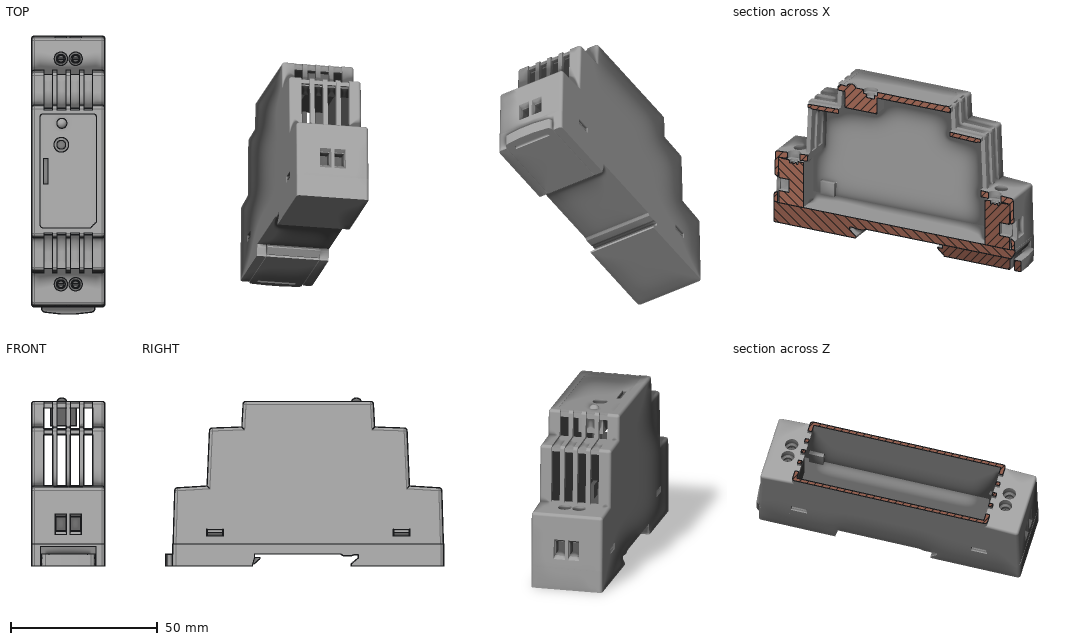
import cadquery as cq
import math

WIDTH = 25.0
BASE_HALF = 46.1
SEAM_Z = 7.6
EDGE_RADIUS = 1.0
WALL = 1.4
ROOF = 2.4

TOP_Z = 56.0
SEAM_CORNER = (46.0, SEAM_Z)
LOW_EDGE = (45.4, 26.6)
LOW_ROOT = (34.45, 27.3)
MID_EDGE = (33.6, 46.9)
MID_ROOT = (22.6, 47.3)
TOP_EDGE = (22.15, TOP_Z)

SLOT_WIDTH = 3.0
SLOT_PITCH = 4.5
SLOT_COUNT = 4
GROOVE = 0.7
TOP_GROOVE_REACH = 1.2

LABEL_LENGTH = 38.7
LABEL_WIDTH = 19.1
LABEL_Y = 0.2
LABEL_SINK = 0.1
LABEL_RADIUS = 0.9
LABEL_CHAMFER = 2.0
LAMP_X, LAMP_Y = -2.2, 16.4
LAMP_DIAMETER = 3.4
LAMP_HEIGHT = 1.1
DIAL_X, DIAL_Y = -2.4, 9.1
DIAL_DIAMETER, DIAL_DEPTH = 5.0, 1.5
DIAL_INNER_DIAMETER, DIAL_INNER_DEPTH = 3.0, 1.3
KEY_X, KEY_Y = -7.7, 0.1
KEY_WIDTH, KEY_LENGTH, KEY_DEPTH = 1.5, 8.6, 1.4
BOSS_X = -1.6
BOSS_WIDTH, BOSS_DROP = 8.7, 6.0

POLE_PITCH = 5.0
POLE_XS = (-POLE_PITCH / 2, POLE_PITCH / 2)
SCREW_Y = 38.3
SCREW_HOLE_DIAMETER = 4.5
SCREW_WELL_DIAMETER, SCREW_WELL_DEPTH = 3.0, 1.1
SCREW_HEAD_DIAMETER, SCREW_HEAD_HEIGHT = 2.3, 0.6
SCREW_SLOT_WIDTH = 0.6
SCREW_SLOT_DEPTH = 0.5
BLOCK_INNER_Y = 34.5
BLOCK_OUTER_Y = LOW_EDGE[0] - WALL
WIRE_WIDTH, WIRE_HEIGHT, WIRE_Z = 3.4, 4.6, 14.4
WIRE_DEPTH = 3.8
MOUTH_WIDTH, MOUTH_HEIGHT, MOUTH_Z = 4.0, 7.2, 14.3

SNAP_Y, SNAP_Z = 31.7, 11.4
SNAP_WINDOW_LENGTH, SNAP_WINDOW_HEIGHT = 5.7, 2.3
SNAP_LENGTH = 5.1
SNAP_SINK = 0.2
TONGUE_THICKNESS = 1.4
TONGUE_ROOT = 0.9

RAIL_ROOF_Z = 4.1
LATCH_WIDTH = 18.2
CHANNEL_WIDTH = 18.7
CHANNEL_MOUTH_Z = 6.6
CHANNEL_MOUTH_DEPTH = 1.4
RAIL_STOP_Y = -18.3
LATCH_TIP_Y = -16.4
HANDLE_Y = -48.6
HANDLE_SHOULDER_Y = -47.9
HANDLE_SIDE_Y = -46.4
HANDLE_BAR = 2.2
HANDLE_CORNER = 1.3
GRIP_WIDTH, GRIP_LENGTH = 13.25, 1.5

HOOK_TIP_Y, HOOK_TIP_Z = 14.6, 0.8
HOOK_ROOT_Y, HOOK_ROOT_Z, HOOK_ROOF_Z = 16.9, 2.7, 3.8
PAD_INNER_Y, PAD_OUTER_Y = 11.0, 15.6
PAD_Z, PAD_RAMP = 3.5, 0.9
STOP_CHAMFER_Y, STOP_CHAMFER_Z = -18.9, 0.6
STOP_EDGE_Z = 2.8
NOSE_TOP_Z, NOSE_TIP_Z, NOSE_BOTTOM_Z = 2.9, 2.6, 0.7
NOSE_BOTTOM_Y = -18.5

BIG = 94.65


def mirrored(half):
    """Outline points for both ends from the points of the +Y end."""
    return half + [(-y, z) for y, z in reversed(half)]


def prism_x(points, x_from, x_to):
    """A YZ outline extruded from x_from to x_to."""
    return cq.Workplane("YZ", origin=(x_from, 0, 0)).polyline(points).close().extrude(x_to - x_from)


def block(x_from, x_to, y_from, y_to, z_from, z_to):
    """A box given by its limits."""
    size = (x_to - x_from, y_to - y_from, z_to - z_from)
    return cq.Workplane("XY").box(*size, centered=False).translate((x_from, y_from, z_from))


def at_both_ends(shape):
    """A tool for the +Y end together with its mirror image at the -Y end."""
    return shape.union(shape.mirror("XZ"))


def inset(point, side, down):
    """A point moved towards the middle and downwards."""
    return (point[0] - side, point[1] - down)


def cover_shell():
    half = [SEAM_CORNER, LOW_EDGE, LOW_ROOT, MID_EDGE, MID_ROOT, TOP_EDGE]
    body = prism_x(mirrored(half), -WIDTH / 2, WIDTH / 2)
    convex = [LOW_EDGE, MID_EDGE, TOP_EDGE]
    for y, z in mirrored(convex):
        corner = cq.selectors.NearestToPointSelector((0, y, z))
        body = body.edges(corner).fillet(EDGE_RADIUS)
    body = body.faces("<X or >X").edges("not(<Z)").fillet(EDGE_RADIUS)
    cavity_half = [inset(SEAM_CORNER, WALL, 0)] + [inset(p, WALL, ROOF) for p in half[1:]]
    cavity = prism_x(mirrored(cavity_half), WALL - WIDTH / 2, WIDTH / 2 - WALL)
    return body.cut(cavity)


def vent_tool():
    """Groove over the edges of the +Y end plus the windows through its upright walls, one slot wide."""
    low_rise = (LOW_ROOT[1] - LOW_EDGE[1]) / (LOW_EDGE[0] - LOW_ROOT[0])
    mid_rise = (MID_ROOT[1] - MID_EDGE[1]) / (MID_EDGE[0] - MID_ROOT[0])
    groove = [
        (BIG, BIG),
        (TOP_EDGE[0] - TOP_GROOVE_REACH, BIG),
        (TOP_EDGE[0] - TOP_GROOVE_REACH, TOP_Z - GROOVE),
        inset(TOP_EDGE, GROOVE, GROOVE),
        inset(MID_ROOT, GROOVE, GROOVE),
        inset(MID_EDGE, GROOVE, GROOVE),
        (LOW_ROOT[0] - GROOVE, LOW_ROOT[1] + low_rise * GROOVE),
        LOW_ROOT,
        (BIG, LOW_ROOT[1]),
    ]
    tool = prism_x(groove, -SLOT_WIDTH / 2, SLOT_WIDTH / 2)
    reach = 2 * WALL
    windows = [
        (inset(MID_ROOT, GROOVE, GROOVE), mid_rise, TOP_Z - ROOF),
        (LOW_ROOT, low_rise, MID_ROOT[1] - ROOF),
    ]
    for (outer_y, sill_z), rise, head_z in windows:
        inner_y = outer_y - reach
        window = [(outer_y, sill_z), (inner_y, sill_z + rise * reach), (inner_y, head_z), (outer_y, head_z)]
        tool = tool.union(prism_x(window, -SLOT_WIDTH / 2, SLOT_WIDTH / 2))
    return tool


def cut_vents(body):
    tool = at_both_ends(vent_tool())
    for i in range(SLOT_COUNT):
        body = body.cut(tool.translate(((i - (SLOT_COUNT - 1) / 2) * SLOT_PITCH, 0, 0)))
    return body


def add_top_panel(body):
    boss_length = LAMP_Y - DIAL_Y + DIAL_DIAMETER
    boss_y = (LAMP_Y + DIAL_Y) / 2
    boss_top = TOP_Z - ROOF
    body = body.union(block(
        BOSS_X - BOSS_WIDTH / 2, BOSS_X + BOSS_WIDTH / 2,
        boss_y - boss_length / 2, boss_y + boss_length / 2,
        boss_top - BOSS_DROP, boss_top,
    ))
    label = cq.Workplane("XY").box(LABEL_WIDTH, LABEL_LENGTH, 2 * LABEL_SINK)
    label = label.edges("|Z and >X and <Y").chamfer(LABEL_CHAMFER)
    label = label.edges("|Z").edges("<X or >Y").fillet(LABEL_RADIUS)
    body = body.cut(label.translate((0, LABEL_Y, TOP_Z)))
    top = cq.Workplane("XY", origin=(0, 0, TOP_Z))
    body = body.cut(top.center(DIAL_X, DIAL_Y).circle(DIAL_DIAMETER / 2).extrude(-DIAL_DEPTH))
    inner_depth = DIAL_DEPTH + DIAL_INNER_DEPTH
    body = body.cut(top.center(DIAL_X, DIAL_Y).circle(DIAL_INNER_DIAMETER / 2).extrude(-inner_depth))
    body = body.cut(top.center(KEY_X, KEY_Y).rect(KEY_WIDTH, KEY_LENGTH).extrude(-KEY_DEPTH))
    return body.union(lamp())


def lamp():
    """Domed indicator lamp: a spherical cap on a short stem that reaches into the top plate."""
    radius = LAMP_DIAMETER / 2
    bulge = (radius ** 2 + LAMP_HEIGHT ** 2) / (2 * LAMP_HEIGHT)
    half_angle = math.asin(radius / bulge) / 2
    middle = (bulge * math.sin(half_angle), LAMP_HEIGHT - bulge * (1 - math.cos(half_angle)))
    section = (
        cq.Workplane("XZ").moveTo(0, -ROOF / 2).lineTo(radius, -ROOF / 2).lineTo(radius, 0)
        .threePointArc(middle, (0, LAMP_HEIGHT)).close()
    )
    dome = section.revolve(360, (0, 0, 0), (0, 1, 0))
    return dome.translate((LAMP_X, LAMP_Y, TOP_Z))


def wire_funnel(pole_x):
    """Tapered wire entry through the +Y end wall."""
    outer_y = SEAM_CORNER[0]
    return (
        cq.Workplane("XZ", origin=(pole_x, outer_y, 0))
        .center(0, MOUTH_Z).rect(MOUTH_WIDTH, MOUTH_HEIGHT)
        .workplane(offset=outer_y - BLOCK_OUTER_Y).center(0, WIRE_Z - MOUTH_Z).rect(WIRE_WIDTH, WIRE_HEIGHT)
        .loft(ruled=True)
    )


def cut_terminal_openings(body):
    for pole_x in POLE_XS:
        screw_hole = (
            cq.Workplane("XY", origin=(pole_x, SCREW_Y, LOW_EDGE[1] - ROOF))
            .circle(SCREW_HOLE_DIAMETER / 2).extrude(2 * ROOF)
        )
        body = body.cut(at_both_ends(screw_hole)).cut(at_both_ends(wire_funnel(pole_x)))
    return body


def cut_snap_windows(body):
    half_length = SNAP_WINDOW_LENGTH / 2
    half_height = SNAP_WINDOW_HEIGHT / 2
    window = block(
        -WIDTH, WIDTH, SNAP_Y - half_length, SNAP_Y + half_length, SNAP_Z - half_height, SNAP_Z + half_height
    )
    return body.cut(at_both_ends(window))


def make_cover():
    body = cover_shell()
    body = cut_vents(body)
    body = add_top_panel(body)
    body = cut_terminal_openings(body)
    return cut_snap_windows(body)


def rail_recess():
    """Recess for the mounting rail, with a fixed hook on the +Y side."""
    outline = [
        (HOOK_TIP_Y, -BIG), (HOOK_TIP_Y, HOOK_TIP_Z), (HOOK_ROOT_Y, HOOK_ROOT_Z), (HOOK_ROOT_Y, HOOK_ROOF_Z),
        (PAD_OUTER_Y, HOOK_ROOF_Z), (PAD_OUTER_Y - PAD_RAMP, PAD_Z), (PAD_INNER_Y + PAD_RAMP, PAD_Z),
        (PAD_INNER_Y, RAIL_ROOF_Z), (RAIL_STOP_Y, RAIL_ROOF_Z), (RAIL_STOP_Y, STOP_EDGE_Z),
        (STOP_CHAMFER_Y, STOP_CHAMFER_Z), (STOP_CHAMFER_Y, -BIG),
    ]
    return prism_x(outline, -WIDTH, WIDTH)


def latch_channel():
    outline = [
        (0, -BIG), (0, RAIL_ROOF_Z), (CHANNEL_MOUTH_DEPTH - BASE_HALF, RAIL_ROOF_Z),
        (-BASE_HALF, CHANNEL_MOUTH_Z), (-BASE_HALF, -BIG),
    ]
    return prism_x(outline, -CHANNEL_WIDTH / 2, CHANNEL_WIDTH / 2)


def snap_hook():
    """Tongue with a ridged hook, on the +X side near the +Y end."""
    outer_x = WIDTH / 2 - WALL
    half_height = SNAP_WINDOW_HEIGHT / 2
    bottom_z = SEAM_Z - TONGUE_ROOT
    section = [
        (outer_x - TONGUE_THICKNESS, bottom_z), (outer_x, bottom_z), (outer_x, SNAP_Z - half_height),
        (WIDTH / 2 - SNAP_SINK, SNAP_Z), (outer_x, SNAP_Z + half_height),
        (outer_x - TONGUE_THICKNESS, SNAP_Z + half_height),
    ]
    tongue = cq.Workplane("XZ").polyline(section).close().extrude(SNAP_LENGTH / 2, both=True)
    return tongue.translate((0, SNAP_Y, 0))


def make_base():
    body = block(-WIDTH / 2, WIDTH / 2, -BASE_HALF, BASE_HALF, 0, SEAM_Z).edges("|Z").fillet(EDGE_RADIUS)
    body = body.cut(rail_recess()).cut(latch_channel())
    hooks = at_both_ends(snap_hook())
    return body.union(hooks).union(hooks.mirror("YZ"))


def make_latch():
    half = LATCH_WIDTH / 2
    shoulder = half - HANDLE_CORNER
    corner_bow = HANDLE_CORNER * (1 - math.sqrt(0.5))
    corner_y = HANDLE_SHOULDER_Y + (HANDLE_SIDE_Y - HANDLE_SHOULDER_Y) * (1 - math.sqrt(0.5))
    plate = (
        cq.Workplane("XY").moveTo(-half, RAIL_STOP_Y).lineTo(-half, HANDLE_SIDE_Y)
        .threePointArc((corner_bow - half, corner_y), (-shoulder, HANDLE_SHOULDER_Y))
        .threePointArc((0, HANDLE_Y), (shoulder, HANDLE_SHOULDER_Y))
        .threePointArc((half - corner_bow, corner_y), (half, HANDLE_SIDE_Y))
        .lineTo(half, RAIL_STOP_Y).close().extrude(RAIL_ROOF_Z)
    )
    grip_y = HANDLE_SHOULDER_Y + HANDLE_BAR
    plate = plate.cut(block(-GRIP_WIDTH / 2, GRIP_WIDTH / 2, grip_y, grip_y + GRIP_LENGTH, 0, RAIL_ROOF_Z))
    relief = [
        (RAIL_STOP_Y, NOSE_TOP_Z), (RAIL_STOP_Y, -BIG), (STOP_CHAMFER_Y, -BIG), (STOP_CHAMFER_Y, NOSE_BOTTOM_Z),
    ]
    plate = plate.cut(prism_x(relief, -WIDTH, WIDTH))
    nose = [
        (STOP_CHAMFER_Y, NOSE_TOP_Z), (LATCH_TIP_Y, NOSE_TOP_Z), (LATCH_TIP_Y, NOSE_TIP_Z),
        (NOSE_BOTTOM_Y, NOSE_BOTTOM_Z), (STOP_CHAMFER_Y, NOSE_BOTTOM_Z),
    ]
    return plate.union(prism_x(nose, -half, half))


def make_terminal():
    """Two-pole terminal block at the +Y end."""
    top_z = LOW_EDGE[1] - ROOF
    body = block(-POLE_PITCH, POLE_PITCH, BLOCK_INNER_Y, BLOCK_OUTER_Y, SEAM_Z, top_z)
    for pole_x in POLE_XS:
        well_top = cq.Workplane("XY", origin=(pole_x, SCREW_Y, top_z))
        body = body.cut(well_top.circle(SCREW_WELL_DIAMETER / 2).extrude(-SCREW_WELL_DEPTH))
        head = (
            cq.Workplane("XY", origin=(pole_x, SCREW_Y, top_z - SCREW_WELL_DEPTH))
            .circle(SCREW_HEAD_DIAMETER / 2).extrude(SCREW_HEAD_HEIGHT)
            .faces(">Z").workplane().rect(SCREW_HEAD_DIAMETER, SCREW_SLOT_WIDTH).cutBlind(-SCREW_SLOT_DEPTH)
        )
        body = body.union(head)
        body = body.cut(block(
            pole_x - WIRE_WIDTH / 2, pole_x + WIRE_WIDTH / 2, BLOCK_OUTER_Y - WIRE_DEPTH, BLOCK_OUTER_Y,
            WIRE_Z - WIRE_HEIGHT / 2, WIRE_Z + WIRE_HEIGHT / 2,
        ))
    return body


cover = make_cover()
base = make_base()
latch = make_latch()
terminals = []
for turn in (0, 180):
    terminals.append(make_terminal().rotate((0, 0, 0), (0, 0, 1), turn).val())

result = cq.Compound.makeCompound([cover.val(), base.val(), latch.val(), *terminals])